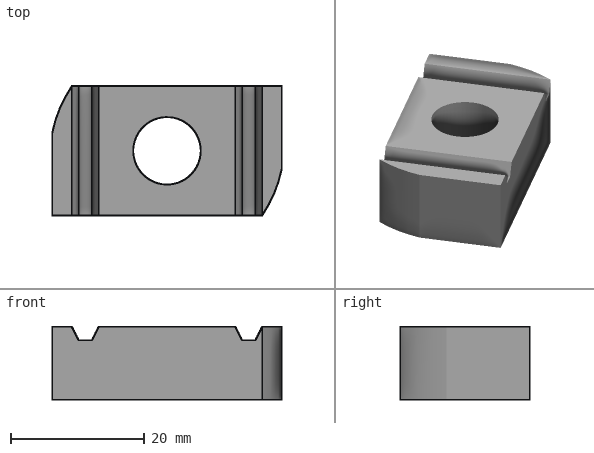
import cadquery as cq

length = 34.5
width = 19.5
height = 11.0
bore_diameter = 10.1

corner_length = 2.95
corner_width = 6.97
corner_radius = 18.98

groove_depth = 2.0
groove_top_width = 4.0
groove_floor_width = 2.0
groove_center_x = 12.28

half_length = length / 2
half_width = width / 2


def make_block():
    """Rectangular block with rounded -X+Y and +X-Y corners."""
    return (
        cq.Workplane("XY")
        .moveTo(-half_length, -half_width)
        .lineTo(half_length - corner_length, -half_width)
        .radiusArc((half_length, -half_width + corner_width), -corner_radius)
        .lineTo(half_length, half_width)
        .lineTo(-half_length + corner_length, half_width)
        .radiusArc((-half_length, half_width - corner_width), -corner_radius)
        .close()
        .extrude(height)
    )


def make_groove(center_x):
    """Cutter for one groove running the full width along Y."""
    half_top = groove_top_width / 2
    half_floor = groove_floor_width / 2
    floor_z = height - groove_depth
    return (
        cq.Workplane("XZ")
        .polyline([
            (center_x - half_top, height),
            (center_x - half_floor, floor_z),
            (center_x + half_floor, floor_z),
            (center_x + half_top, height),
        ])
        .close()
        .extrude(half_width, both=True)
    )


result = make_block()
for side in (-1, 1):
    result = result.cut(make_groove(side * groove_center_x))

bore = cq.Workplane("XY").circle(bore_diameter / 2).extrude(height)
result = result.cut(bore)